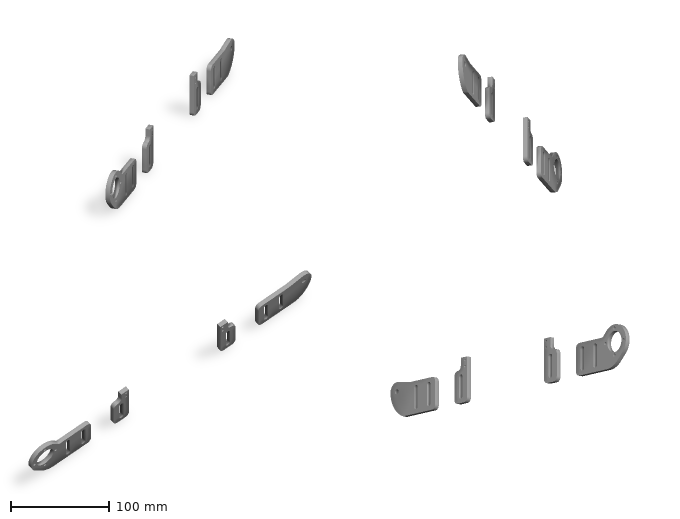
import cadquery as cq
import math

thickness = 5
plate_height = 34
corner_radius = 5

slot_width = 5.3
slot_travel = 20
slot_center_z = plate_height / 2
slot_edge_distance = 10
slot_pitch = 20

bracket_half_gap = 60
plate_gap = 30

bracket_width = 20
bracket_height = 47
tab_width = 10
tab_hole_diameter = 2.4
tab_hole_pitch = 6.5
tab_hole_edge_distance = 3.5
tab_hole_center_z = (plate_height + bracket_height) / 2

axis_offset = 60
axis_z = 27

smallest_flank = 0.001

idler_nose_radius = 10
idler_hole_diameter = 5.3
idler_top_length = 40
idler_heel_radius = 30
idler_foot_length = 50

motor_ring_radius = 18
motor_bore_diameter = 22
motor_hole_diameter = 3.2
motor_hole_circle_radius = 14
motor_hole_count = 4
motor_heel_radius = 24
motor_foot_length = 48
motor_neck_radius = 4
motor_neck_angle = math.radians(45)

bracket_outer_y = bracket_half_gap + bracket_width
plate_inner_y = bracket_outer_y + plate_gap


def plate_sketch():
    """Workplane with local x along Y and local y along Z; extrusion runs toward +X."""
    return cq.Workplane("YZ")


def round_holes(points, diameter):
    return plate_sketch().pushPoints(points).circle(diameter / 2).extrude(thickness)


def slots(centers_y):
    points = [(y, slot_center_z) for y in centers_y]
    slot_length = slot_travel + slot_width
    return plate_sketch().pushPoints(points).slot2D(slot_length, slot_width, 90).extrude(thickness)


def round_corners(plate, corners, radius):
    """Round the edges along X that pass through the given (y, z) corners."""
    for y, z in corners:
        edge = cq.selectors.NearestToPointSelector((thickness / 2, y, z))
        plate = plate.edges("|X").edges(edge).fillet(radius)
    return plate


def make_bracket(side):
    """Slotted bracket with a switch tab on its inner edge; side is +1 or -1 along Y."""
    inner = side * bracket_half_gap
    outer = side * bracket_outer_y
    tab_edge = side * (bracket_half_gap + tab_width)
    outer_round_z = plate_height - corner_radius
    inner_round_z = plate_height + corner_radius
    shoulder_y = side * (bracket_outer_y - corner_radius)
    feet = [(inner, 0), (outer, 0)]
    bracket = (
        plate_sketch()
        .moveTo(*feet[0])
        .lineTo(*feet[1])
        .lineTo(outer, outer_round_z)
        .tangentArcPoint((shoulder_y, plate_height), relative=False)
        .tangentArcPoint((tab_edge, inner_round_z), relative=False)
        .lineTo(tab_edge, bracket_height)
        .lineTo(inner, bracket_height)
        .close()
        .extrude(thickness)
    )
    bracket = round_corners(bracket, feet, corner_radius)
    hole_y = side * (bracket_half_gap + tab_hole_edge_distance)
    hole_points = [(hole_y, tab_hole_center_z + end * tab_hole_pitch / 2) for end in (-1, 1)]
    bracket = bracket.cut(round_holes(hole_points, tab_hole_diameter))
    return bracket.cut(slots([side * (bracket_outer_y - slot_edge_distance)]))


def on_circle(center, radius, angle):
    return (center[0] + radius * math.cos(angle), center[1] + radius * math.sin(angle))


def make_shaft_plate(side, head_radius, neck_angle, neck_start, flank_angle, heel_center, heel_radius):
    """Plate with a round head around the shaft axis; side is +1 or -1 along Y.

    A straight neck runs from neck_start to touch the head at neck_angle. At flank_angle the
    head runs smoothly into the heel arc, across a straight flank if there is a gap between them.
    The outline is laid out as distances from the inner edge, then placed on its side.
    """
    head_center = (axis_offset, axis_z)
    head_end = on_circle(head_center, head_radius, flank_angle)
    heel_start = on_circle(heel_center, heel_radius, flank_angle)
    foot_angle = -math.asin(heel_center[1] / heel_radius)

    def placed(point):
        return (side * (plate_inner_y + point[0]), point[1])

    inner_corners = [placed((0, 0)), placed((0, plate_height))]
    outline = (
        plate_sketch()
        .moveTo(*inner_corners[0])
        .lineTo(*inner_corners[1])
        .lineTo(*placed((neck_start, plate_height)))
        .lineTo(*placed(on_circle(head_center, head_radius, neck_angle)))
        .threePointArc(
            placed(on_circle(head_center, head_radius, (neck_angle + flank_angle) / 2)),
            placed(head_end),
        )
    )
    if math.dist(head_end, heel_start) > smallest_flank:
        outline = outline.lineTo(*placed(heel_start))
    outline = outline.threePointArc(
        placed(on_circle(heel_center, heel_radius, (flank_angle + foot_angle) / 2)),
        placed(on_circle(heel_center, heel_radius, foot_angle)),
    )
    plate = outline.close().extrude(thickness)
    plate = round_corners(plate, inner_corners, corner_radius)
    first_slot = plate_inner_y + slot_edge_distance
    return plate.cut(slots([side * first_slot, side * (first_slot + slot_pitch)]))


def make_idler_plate():
    """Plate on the +Y side with a rounded nose around the idler shaft hole."""
    side = 1
    run = axis_offset - idler_top_length
    drop = plate_height - axis_z
    neck_angle = math.atan2(drop, -run) - math.acos(idler_nose_radius / math.hypot(run, drop))
    center_distance = idler_heel_radius - idler_nose_radius
    foot_run = axis_offset - idler_foot_length
    foot_to_axis = math.hypot(foot_run, axis_z)
    along = (foot_to_axis**2 + idler_heel_radius**2 - center_distance**2) / (2 * foot_to_axis)
    across = math.sqrt(idler_heel_radius**2 - along**2)
    heel_center = (
        idler_foot_length + (along * foot_run - across * axis_z) / foot_to_axis,
        (along * axis_z + across * foot_run) / foot_to_axis,
    )
    flank_angle = math.atan2(axis_z - heel_center[1], axis_offset - heel_center[0])
    plate = make_shaft_plate(
        side,
        idler_nose_radius,
        neck_angle,
        idler_top_length,
        flank_angle,
        heel_center,
        idler_heel_radius,
    )
    axis_y = side * (plate_inner_y + axis_offset)
    return plate.cut(round_holes([(axis_y, axis_z)], idler_hole_diameter))


def make_motor_plate():
    """Plate on the -Y side with a ring for the motor: a bore and screw holes around it."""
    side = -1
    touch_angle = math.pi / 2 + motor_neck_angle
    touch_y, touch_z = on_circle((axis_offset, axis_z), motor_ring_radius, touch_angle)
    neck_start = touch_y - (touch_z - plate_height) / math.tan(motor_neck_angle)
    heel_center = (motor_foot_length, motor_heel_radius)
    run = axis_offset - heel_center[0]
    rise = axis_z - heel_center[1]
    radius_difference = motor_heel_radius - motor_ring_radius
    flank_angle = math.atan2(rise, run) - math.acos(radius_difference / math.hypot(run, rise))
    plate = make_shaft_plate(
        side,
        motor_ring_radius,
        touch_angle,
        neck_start,
        flank_angle,
        heel_center,
        motor_heel_radius,
    )
    plate = round_corners(plate, [(side * (plate_inner_y + neck_start), plate_height)], motor_neck_radius)
    axis_y = side * (plate_inner_y + axis_offset)
    plate = plate.cut(round_holes([(axis_y, axis_z)], motor_bore_diameter))
    screw_points = [
        on_circle((axis_y, axis_z), motor_hole_circle_radius, 2 * math.pi * index / motor_hole_count)
        for index in range(motor_hole_count)
    ]
    return plate.cut(round_holes(screw_points, motor_hole_diameter))


brackets = [make_bracket(side) for side in (1, -1)]
idler_plate = make_idler_plate()
motor_plate = make_motor_plate()

result = cq.Compound.makeCompound(
    [idler_plate.val(), *[bracket.val() for bracket in brackets], motor_plate.val()]
)